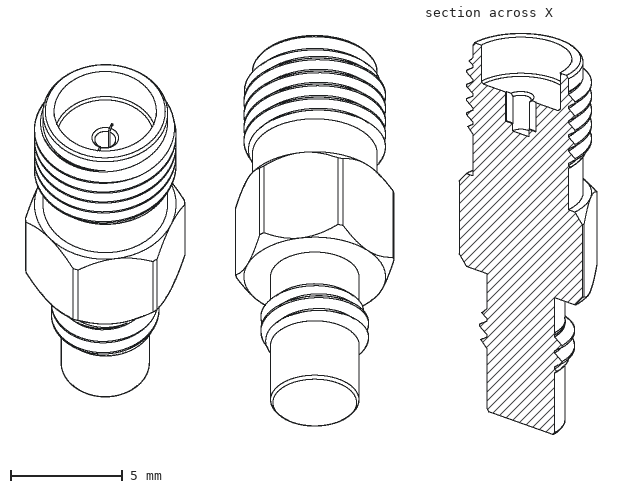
import cadquery as cq
import math

total_height = 18.03

nose_diameter = 3.97
socket_diameter = 5.59
rim_chamfer_height = 0.15
rim_chamfer_width = 0.1

hex_flats = 6.35
hex_corners = 7.2
hex_bottom = 6.8
hex_top = 11.41
hex_cone_height = 0.5

socket_thread_diameter = 6.35
socket_thread_pitch = 0.7
socket_thread_bottom = 13.45
socket_thread_top = 17.25
socket_thread_phase = 13.83

nose_thread_diameter = 4.83
nose_thread_pitch = 0.8
nose_thread_bottom = 3.08
nose_thread_top = 5.08
nose_thread_phase = 3.53

crest_flat_share = 1 / 8
root_flat_share = 1 / 8
thread_root_overlap = 0.045
envelope_clearance = 0.18

bore_diameter = 4.58
bore_depth = 1.9
bore_floor_chamfer = 0.1
contact_mouth_diameter = 1.19
contact_hole_diameter = 0.94
contact_hole_depth = 1.8
contact_slot_length = 1.73
contact_slot_width = 0.07
contact_slot_depth = 1.45


def revolve_outline(points):
    """Revolve a closed (radius, z) outline about the Z axis."""
    return cq.Workplane("XZ").polyline(points).close().revolve(360, (0, 0), (0, 1))


def make_body():
    """Nose and socket barrels with chamfered outer ends."""
    nose_radius = nose_diameter / 2
    socket_radius = socket_diameter / 2
    return revolve_outline([
        (0, 0),
        (nose_radius - rim_chamfer_width, 0),
        (nose_radius, rim_chamfer_height),
        (nose_radius, hex_bottom),
        (socket_radius, hex_bottom),
        (socket_radius, total_height - rim_chamfer_height),
        (socket_radius - rim_chamfer_width, total_height),
        (0, total_height),
    ])


def make_hexagon():
    """Hexagon with flats facing +X and -X, trimmed by a double-coned blank."""
    flat_radius = hex_flats / 2
    corner_radius = hex_corners / 2
    blank = revolve_outline([
        (0, hex_bottom),
        (flat_radius, hex_bottom),
        (corner_radius, hex_bottom + hex_cone_height),
        (corner_radius, hex_top - hex_cone_height),
        (flat_radius, hex_top),
        (0, hex_top),
    ])
    prism = (
        cq.Workplane("XY", origin=(0, 0, hex_bottom))
        .transformed(rotate=(0, 0, 90))
        .polygon(6, hex_flats / math.cos(math.pi / 6))
        .extrude(hex_top - hex_bottom)
    )
    return prism.intersect(blank)


def make_thread(core_diameter, crest_diameter, pitch, bottom, top, phase):
    """Right-hand V thread whose ends run out along 45 degree cones."""
    core_radius = core_diameter / 2
    crest_radius = crest_diameter / 2
    depth = crest_radius - core_radius
    sunk_radius = core_radius - thread_root_overlap
    half_crest = crest_flat_share * pitch / 2
    half_base = (1 - root_flat_share) * pitch / 2
    flank_run = (half_base - half_crest) / depth
    half_sunk = half_base + thread_root_overlap * flank_run

    turns_below = math.ceil((phase - bottom) / pitch) + 1
    start = phase - turns_below * pitch
    length = (math.ceil((top - start) / pitch) + 1) * pitch
    helix = cq.Wire.makeHelix(pitch, length, core_radius)
    ridge = (
        cq.Workplane("XZ")
        .polyline([
            (sunk_radius, -half_sunk),
            (crest_radius, -half_crest),
            (crest_radius, half_crest),
            (sunk_radius, half_sunk),
        ])
        .close()
        .sweep(cq.Workplane(obj=helix), isFrenet=True)
        .rotate((0, 0, 0), (0, 0, 1), 180)
        .translate((0, 0, start))
    )
    outer_radius = crest_radius + envelope_clearance
    cone_height = outer_radius - core_radius
    envelope = revolve_outline([
        (0, bottom),
        (core_radius, bottom),
        (outer_radius, bottom + cone_height),
        (outer_radius, top - cone_height),
        (core_radius, top),
        (0, top),
    ])
    return ridge.intersect(envelope)


def make_socket_cavity():
    """Blind bore, flared contact hole and the contact's slot along Y."""
    bore_radius = bore_diameter / 2
    mouth_radius = contact_mouth_diameter / 2
    hole_radius = contact_hole_diameter / 2
    floor = total_height - bore_depth
    cavity = revolve_outline([
        (0, total_height),
        (bore_radius, total_height),
        (bore_radius, floor + bore_floor_chamfer),
        (bore_radius - bore_floor_chamfer, floor),
        (mouth_radius, floor),
        (hole_radius, floor - (mouth_radius - hole_radius)),
        (hole_radius, floor - contact_hole_depth),
        (0, floor - contact_hole_depth),
    ])
    slot = (
        cq.Workplane("XY", origin=(0, 0, floor))
        .rect(contact_slot_width, contact_slot_length)
        .extrude(-contact_slot_depth)
    )
    return cavity.union(slot)


socket_thread = make_thread(
    socket_diameter, socket_thread_diameter, socket_thread_pitch,
    socket_thread_bottom, socket_thread_top, socket_thread_phase,
)
nose_thread = make_thread(
    nose_diameter, nose_thread_diameter, nose_thread_pitch,
    nose_thread_bottom, nose_thread_top, nose_thread_phase,
)

result = (
    make_body()
    .union(make_hexagon())
    .union(socket_thread)
    .union(nose_thread)
    .cut(make_socket_cavity())
)